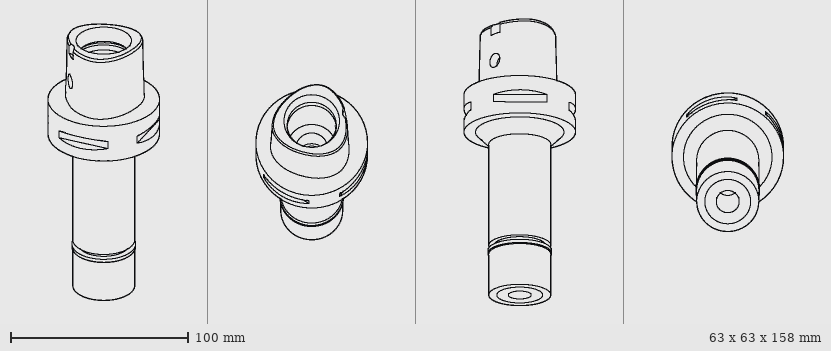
import cadquery as cq
import math

TOTAL_HEIGHT = 158.0
FLANGE_TOP = 120.2
FLANGE_BOTTOM = 97.8
NECK_TOP = 29.7
NUT_TOP = 26.9

LOBE_MEAN_RADIUS = 22.1
LOBE_OFFSET = 1.5
OUTLINE_POINTS = 12
SHANK_TAPER = 0.025
TOP_CHAMFER_HEIGHT = 1.6
TOP_CHAMFER_WIDTH = 0.8

KEYWAY_RADIUS = 5.0
KEYWAY_AXIS_Y = -23.0
KEYWAY_DEPTH = 6.3
SIDE_HOLE_RADIUS = 4.1
SIDE_HOLE_Z = 135.5
SIDE_HOLE_FLOOR_Y = -14.2

FLANGE_DIAMETER = 63.0
FLANGE_RADIUS = FLANGE_DIAMETER / 2
BARREL_RADIUS = 17.5
CONE_TOP_RADIUS = 25.0
CONE_HEIGHT = CONE_TOP_RADIUS - BARREL_RADIUS
NECK_RADIUS = 14.5

GROOVE_COUNT = 4
FIRST_GROOVE_ANGLE = 45
GROOVE_Z = 108.0
GROOVE_FLOOR_DISTANCE = 27.6
GROOVE_FLOOR_HEIGHT = 4.5
GROOVE_MOUTH_HEIGHT = 7.3

MOUTH_RADIUS = 15.6
BORE_RADIUS = 13.9
MOUTH_CONE_DEPTH = 6.0
CLAMP_GROOVE_TOP_DEPTH = 8.2
CLAMP_GROOVE_BOTTOM_DEPTH = 13.7
CLAMP_GROOVE_RADIUS = 16.0
CLAMP_GROOVE_BEVEL = CLAMP_GROOVE_RADIUS - BORE_RADIUS
BORE_FLOOR_Z = 110.6
SCREW_HOLE_RADIUS = 8.8
SCREW_HOLE_FLOOR_Z = 91.6
COOLANT_HOLE_RADIUS = 7.5

NUT_RADIUS = BARREL_RADIUS
COLLAR_RADIUS = 18.0
COLLAR_HEIGHT = 1.9
COLLAR_BEVEL = COLLAR_RADIUS - NUT_RADIUS
NUT_LIP_HEIGHT = 6.3

COLLET_BORE_RADIUS = 6.5
COLLET_HEAD_RADIUS = 13.0
COLLET_TOP_Z = 37.9
COLLET_HALF_ANGLE = 8.0
COLLET_TAPER_HEIGHT = COLLET_TOP_Z - NUT_LIP_HEIGHT
COLLET_TOP_RADIUS = COLLET_HEAD_RADIUS - COLLET_TAPER_HEIGHT * math.tan(math.radians(COLLET_HALF_ANGLE))


def turned(points):
    """Revolve an outline of (radius, z) points about the Z axis."""
    profile = cq.Workplane("YZ").polyline([(-radius, z) for radius, z in points]).close()
    return profile.revolve(360, (0, 0), (0, 1))


def lobed_wire(mean_radius, z):
    """Closed smooth three-lobed curve with one lobe toward +Y, starting on the -Y side."""
    points = []
    for step in range(OUTLINE_POINTS):
        angle = 2 * math.pi * step / OUTLINE_POINTS
        x = mean_radius * math.sin(angle) + LOBE_OFFSET * math.sin(2 * angle)
        y = -mean_radius * math.cos(angle) + LOBE_OFFSET * math.cos(2 * angle)
        points.append(cq.Vector(x, y, z))
    return cq.Wire.assembleEdges([cq.Edge.makeSpline(points, periodic=True)])


def tapered_shank():
    chamfer_z = TOTAL_HEIGHT - TOP_CHAMFER_HEIGHT
    chamfer_radius = LOBE_MEAN_RADIUS - SHANK_TAPER * (chamfer_z - FLANGE_TOP)
    base = lobed_wire(LOBE_MEAN_RADIUS, FLANGE_TOP)
    edge = lobed_wire(chamfer_radius, chamfer_z)
    top = lobed_wire(chamfer_radius - TOP_CHAMFER_WIDTH, TOTAL_HEIGHT)
    return cq.Workplane(cq.Solid.makeLoft([base, edge, top], True))


def keyway():
    return (
        cq.Workplane("XY", origin=(0, KEYWAY_AXIS_Y, TOTAL_HEIGHT - KEYWAY_DEPTH))
        .circle(KEYWAY_RADIUS)
        .extrude(KEYWAY_DEPTH)
    )


def side_hole():
    return (
        cq.Workplane("XZ", origin=(0, SIDE_HOLE_FLOOR_Y, SIDE_HOLE_Z))
        .circle(SIDE_HOLE_RADIUS)
        .extrude(FLANGE_RADIUS + SIDE_HOLE_FLOOR_Y)
    )


def turned_body():
    """Flange, cone, barrel and the neck that the nut screws onto."""
    return turned([
        (0, FLANGE_TOP),
        (FLANGE_RADIUS, FLANGE_TOP),
        (FLANGE_RADIUS, FLANGE_BOTTOM),
        (CONE_TOP_RADIUS, FLANGE_BOTTOM),
        (BARREL_RADIUS, FLANGE_BOTTOM - CONE_HEIGHT),
        (BARREL_RADIUS, NECK_TOP),
        (NECK_RADIUS, NECK_TOP),
        (NECK_RADIUS, NUT_LIP_HEIGHT),
        (0, NUT_LIP_HEIGHT),
    ])


def gripper_groove(angle):
    """Straight groove with sloping sides, cut across the flange at the given angle."""
    floor = GROOVE_FLOOR_HEIGHT / 2
    mouth = GROOVE_MOUTH_HEIGHT / 2
    return (
        cq.Workplane("XZ")
        .polyline([
            (GROOVE_FLOOR_DISTANCE, GROOVE_Z - floor),
            (FLANGE_RADIUS, GROOVE_Z - mouth),
            (FLANGE_RADIUS, GROOVE_Z + mouth),
            (GROOVE_FLOOR_DISTANCE, GROOVE_Z + floor),
        ])
        .close()
        .extrude(FLANGE_RADIUS, both=True)
        .rotate((0, 0, 0), (0, 0, 1), angle)
    )


def holder_bore():
    """Clamping bore with its groove, screw hole and coolant hole."""
    groove_top = TOTAL_HEIGHT - CLAMP_GROOVE_TOP_DEPTH
    groove_bottom = TOTAL_HEIGHT - CLAMP_GROOVE_BOTTOM_DEPTH
    return turned([
        (0, TOTAL_HEIGHT),
        (MOUTH_RADIUS, TOTAL_HEIGHT),
        (BORE_RADIUS, TOTAL_HEIGHT - MOUTH_CONE_DEPTH),
        (BORE_RADIUS, groove_top),
        (CLAMP_GROOVE_RADIUS, groove_top - CLAMP_GROOVE_BEVEL),
        (CLAMP_GROOVE_RADIUS, groove_bottom + CLAMP_GROOVE_BEVEL),
        (BORE_RADIUS, groove_bottom),
        (BORE_RADIUS, BORE_FLOOR_Z),
        (SCREW_HOLE_RADIUS, BORE_FLOOR_Z),
        (SCREW_HOLE_RADIUS, SCREW_HOLE_FLOOR_Z),
        (COOLANT_HOLE_RADIUS, SCREW_HOLE_FLOOR_Z),
        (COOLANT_HOLE_RADIUS, COLLET_TOP_Z),
        (0, COLLET_TOP_Z),
    ])


def collet_blank():
    """Solid collet shape, used for the collet and for its seat in the holder."""
    return turned([
        (0, COLLET_TOP_Z),
        (COLLET_TOP_RADIUS, COLLET_TOP_Z),
        (COLLET_HEAD_RADIUS, NUT_LIP_HEIGHT),
        (COLLET_HEAD_RADIUS, 0),
        (0, 0),
    ])


def make_holder():
    holder = turned_body().union(tapered_shank())
    for index in range(GROOVE_COUNT):
        holder = holder.cut(gripper_groove(FIRST_GROOVE_ANGLE + 360 / GROOVE_COUNT * index))
    holder = holder.cut(keyway()).cut(side_hole())
    return holder.cut(holder_bore()).cut(collet_blank())


def make_nut():
    """Sleeve around the neck with a collar on top and a lip around the collet head."""
    collar_bottom = NUT_TOP - COLLAR_HEIGHT
    return turned([
        (NECK_RADIUS, NUT_TOP),
        (COLLAR_RADIUS, NUT_TOP),
        (COLLAR_RADIUS, collar_bottom),
        (NUT_RADIUS, collar_bottom - COLLAR_BEVEL),
        (NUT_RADIUS, 0),
        (COLLET_HEAD_RADIUS, 0),
        (COLLET_HEAD_RADIUS, NUT_LIP_HEIGHT),
        (NECK_RADIUS, NUT_LIP_HEIGHT),
    ])


def make_collet():
    bore = cq.Workplane("XY").circle(COLLET_BORE_RADIUS).extrude(COLLET_TOP_Z)
    return collet_blank().cut(bore)


holder = make_holder()
nut = make_nut()
collet = make_collet()

result = cq.Compound.makeCompound([holder.val(), nut.val(), collet.val()])